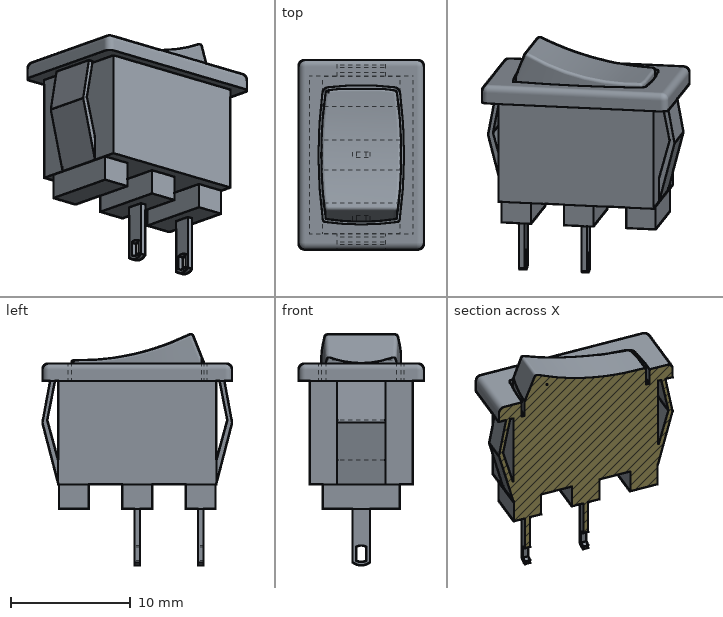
import cadquery as cq


bezel_width = 10.47
bezel_length = 15.84
bezel_height = 1.47
bezel_round = 0.55

body_width = 8.6
body_length = 13.18
body_depth = 8.62
foot_width = 6.42
foot_length = 2.5
foot_depth = 2.05
foot_pitch = 5.29
foot_bottom = -body_depth - foot_depth

terminal_width = 1.47
terminal_thickness = 0.48
terminal_length = 4.73
terminal_end_rise = 0.27
eye_width = 0.83
eye_height = 1.35
eye_end_rise = 0.12
eye_end_margin = 0.3
terminal_bottom = foot_bottom - terminal_length
terminal_positions = (0, -foot_pitch)

clip_width = 4.01
clip_top_y = 7.27
clip_knee_y = bezel_length / 2
clip_knee_z = -3.5
clip_inner_knee_z = -3.28
clip_thickness_y = 0.42
clip_inner_foot_z = -6.6

rocker_half_width = 3.34
rocker_corner_x = 2.95
rocker_half_length = 5.57
rocker_corner_y = 5.35
rocker_gap = 0.23

rim_round = 0.25
low_corner_round = 0.29
raised_corner_round = 0.35

low_end_y = 5.5
low_edge = (low_end_y, 1.74)
hollow_middle = (0, 2.3)
raised_edge = (-4.57, 4.0)
raised_face_foot = (-6.17, 0)

opening_round_low_end = 0.58
opening_round_raised_end = 0.25


def make_bezel():
    block = cq.Workplane("XY").box(bezel_width, bezel_length, bezel_height, centered=(True, True, False))
    return block.edges("|Z or >Z").fillet(bezel_round)


def make_body():
    body = (
        cq.Workplane("XY")
        .rect(body_width, body_length)
        .extrude(-body_depth)
    )
    feet = (
        cq.Workplane("XY", origin=(0, 0, -body_depth))
        .rarray(0.2, foot_pitch, 1, 3)
        .rect(foot_width, foot_length)
        .extrude(-foot_depth)
    )
    return body.union(feet)


def make_terminal(y):
    half_width = terminal_width / 2
    shoulder_z = terminal_bottom + terminal_end_rise
    blade = (
        cq.Workplane("XZ", origin=(0, y, 0))
        .moveTo(-half_width, foot_bottom)
        .lineTo(-half_width, shoulder_z)
        .threePointArc((0, terminal_bottom), (half_width, shoulder_z))
        .lineTo(half_width, foot_bottom)
        .close()
        .extrude(terminal_thickness / 2, both=True)
    )
    half_eye = eye_width / 2
    eye_bottom = terminal_bottom + eye_end_margin
    eye_top = eye_bottom + eye_height
    eye = (
        cq.Workplane("XZ", origin=(0, y, 0))
        .moveTo(-half_eye, eye_bottom + eye_end_rise)
        .threePointArc((0, eye_bottom), (half_eye, eye_bottom + eye_end_rise))
        .lineTo(half_eye, eye_top - eye_end_rise)
        .threePointArc((0, eye_top), (-half_eye, eye_top - eye_end_rise))
        .close()
        .extrude(terminal_thickness, both=True)
    )
    return blade.cut(eye)


def make_clip():
    wall_y = body_length / 2
    return (
        cq.Workplane("YZ")
        .polyline(
            [
                (clip_top_y, 0),
                (clip_knee_y, clip_knee_z),
                (wall_y, -body_depth),
                (wall_y, clip_inner_foot_z),
                (clip_knee_y - clip_thickness_y, clip_inner_knee_z),
                (clip_top_y - clip_thickness_y, 0),
            ]
        )
        .close()
        .extrude(clip_width / 2, both=True)
    )


def bowed_block(margin, height, low_end_round):
    """Block whose four plan sides bow outward, grown by margin beyond the rocker.

    Only the two upright corners at the low (+Y) end are rounded.
    """
    half_width = rocker_half_width + margin
    corner_x = rocker_corner_x + margin
    half_length = rocker_half_length + margin
    corner_y = rocker_corner_y + margin
    block = (
        cq.Workplane("XY")
        .moveTo(corner_x, corner_y)
        .threePointArc((0, half_length), (-corner_x, corner_y))
        .threePointArc((-half_width, 0), (-corner_x, -corner_y))
        .threePointArc((0, -half_length), (corner_x, -corner_y))
        .threePointArc((half_width, 0), (corner_x, corner_y))
        .close()
        .extrude(height)
    )
    return block.edges("|Z").edges(">Y").fillet(low_end_round)


def make_opening():
    opening = bowed_block(rocker_gap, bezel_height, opening_round_low_end)
    return opening.edges("|Z").edges("<Y").fillet(opening_round_raised_end)


def make_rocker():
    profile = (
        cq.Workplane("YZ")
        .moveTo(low_end_y, 0)
        .lineTo(*low_edge)
        .threePointArc(hollow_middle, raised_edge)
        .lineTo(*raised_face_foot)
        .close()
        .extrude(bezel_width / 2, both=True)
    )
    rocker = bowed_block(0, 2 * raised_edge[1], low_corner_round).intersect(profile)
    rocker = rocker.faces(">Z").edges("not |X").edges("not <Z").fillet(raised_corner_round)
    hollow = rocker.faces(cq.NearestToPointSelector((0, *hollow_middle)))
    return hollow.edges().fillet(rim_round)


result = make_bezel().cut(make_opening()).union(make_body()).union(make_rocker())
for y in terminal_positions:
    result = result.union(make_terminal(y))
clip = make_clip()
result = result.union(clip).union(clip.mirror("XZ"))